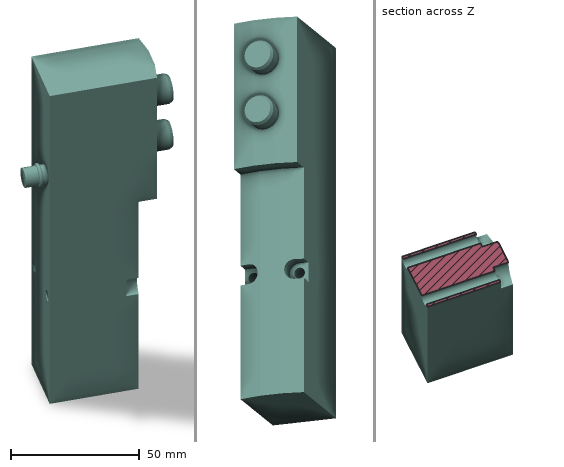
import cadquery as cq

WIDTH = 26.2
HEIGHT = 150.8
HEAD_BOTTOM = 91.5

HEAD_SIDE_DEPTH = 43.3
BODY_SIDE_DEPTH = 35.9
CROWN_RISE = 1.5
CROWN_FLAT_WIDTH = 9.0

CONNECTOR_DIAMETER = 12.0
CONNECTOR_TIP = 52.2
CONNECTOR_CHAMFER_LENGTH = 1.4
CONNECTOR_CHAMFER_INSET = 0.8
CONNECTOR_HEIGHTS = (111.9, 134.2)

PIN_DIAMETER = 8.0
PIN_LENGTH = 9.0
PIN_X = 7.2
PIN_Z = 108.3
COLLAR_DIAMETER = 9.7
COLLAR_START = 2.1
COLLAR_THICKNESS = 1.5
COLLAR_ROUND = 0.74

HOLE_DIAMETER = 4.4
HOLE_OFFSET = 9.5
HOLE_Z = 50.4
RECESS_DIAMETER = 8.0
RECESS_FLOOR = 30.9


def crowned_block(side_depth, bottom, top):
    """Block whose rear face slopes up from both sides to a flat centre strip."""
    half_width = WIDTH / 2
    half_flat = CROWN_FLAT_WIDTH / 2
    crown_depth = side_depth + CROWN_RISE
    return (
        cq.Workplane("XY", origin=(0, 0, bottom))
        .moveTo(-half_width, 0)
        .lineTo(half_width, 0)
        .lineTo(half_width, side_depth)
        .lineTo(half_flat, crown_depth)
        .lineTo(-half_flat, crown_depth)
        .lineTo(-half_width, side_depth)
        .close()
        .extrude(top - bottom)
    )


def cylinder_along_y(diameter, x, z, start, end):
    """Cylinder parallel to Y between two depths."""
    plane = cq.Plane(origin=(x, start, z), xDir=(1, 0, 0), normal=(0, 1, 0))
    return cq.Workplane(plane).circle(diameter / 2).extrude(end - start)


def connector(z):
    """Rear connector with a bevelled tip, rooted inside the head."""
    barrel = cylinder_along_y(CONNECTOR_DIAMETER, 0, z, HEAD_SIDE_DEPTH, CONNECTOR_TIP)
    tip_face = barrel.faces(">Y")
    return tip_face.chamfer(CONNECTOR_CHAMFER_LENGTH, CONNECTOR_CHAMFER_INSET)


def front_pin():
    """Pin projecting forward from the front face, with its collar."""
    pin = cylinder_along_y(PIN_DIAMETER, PIN_X, PIN_Z, -PIN_LENGTH, 0)
    collar_back = -COLLAR_START
    collar_front = collar_back - COLLAR_THICKNESS
    collar = cylinder_along_y(COLLAR_DIAMETER, PIN_X, PIN_Z, collar_front, collar_back)
    return pin.union(collar.edges("%CIRCLE").fillet(COLLAR_ROUND))


def mounting_cut(side):
    """Through hole and round-ended recess on one side (-1 or +1)."""
    rear = BODY_SIDE_DEPTH + CROWN_RISE
    recess_depth = rear - RECESS_FLOOR
    x = side * HOLE_OFFSET
    hole = cylinder_along_y(HOLE_DIAMETER, x, HOLE_Z, 0, rear)
    recess = cylinder_along_y(RECESS_DIAMETER, x, HOLE_Z, RECESS_FLOOR, rear)
    side_opening = cq.Workplane("XY").box(
        WIDTH / 2 - HOLE_OFFSET, recess_depth, RECESS_DIAMETER
    ).translate((side * (WIDTH / 2 + HOLE_OFFSET) / 2, RECESS_FLOOR + recess_depth / 2, HOLE_Z))
    return hole.union(recess).union(side_opening)


result = crowned_block(BODY_SIDE_DEPTH, 0, HEAD_BOTTOM)
result = result.union(crowned_block(HEAD_SIDE_DEPTH, HEAD_BOTTOM, HEIGHT))

for connector_z in CONNECTOR_HEIGHTS:
    result = result.union(connector(connector_z))

result = result.union(front_pin())

for hole_side in (-1, 1):
    result = result.cut(mounting_cut(hole_side))